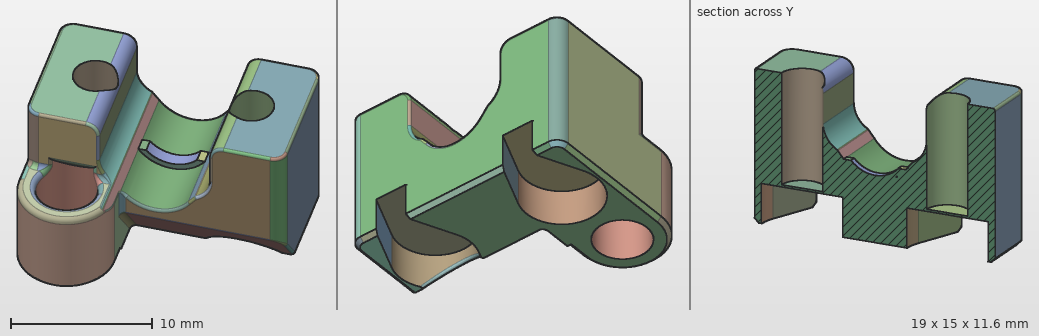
import cadquery as cq
import math

length = 19.0
width = 10.0
height = 11.6
corner_radius = 1.0
edge_radius = 0.2
bottom_chamfer = 0.35
left = -length / 2
right = length / 2
front = -width / 2
back = width / 2

channel_half_width = 4.05
channel_lip_radius = 1.0
shoulder_radius = 2.0
shoulder_top_z = 8.3
shoulder_end_x = 2.95
seat_radius = 3.0
seat_center_z = 7.64
seat_tangent_x = 2.45

rib_width = 1.0
rib_inner_radius = 2.55
rib_top_z = 5.9

ear_radius = 3.5
ear_x = left + ear_radius
ear_y = -6.5
ear_top_z = 6.62
ear_right = ear_x + ear_radius
ear_fillet = 0.4
eye_radius = 2.2
eye_back = ear_y + eye_radius
eye_roof_z = 6.73
eye_mouth_z = 7.55

undercut_height = 3.83
undercut_depth = 3.0
undercut_back = front + undercut_depth

screw_x = 5.73
screw_radius = 1.6
pocket_radius = 3.2
pocket_depth = 3.0
pocket_mouth_half_width = 1.34
pocket_lip_radius = 0.2
membrane = 0.2

pick = 0.1


def box(x0, x1, y0, y1, z0, z1):
    return cq.Workplane("XY").box(x1 - x0, y1 - y0, z1 - z0, centered=False).translate((x0, y0, z0))


def cylinder(x, y, radius, z0, z1):
    return cq.Workplane("XY", origin=(x, y, z0)).circle(radius).extrude(z1 - z0)


def near(x0, x1, y0, y1, z0, z1):
    """Selector for edges whose centre lies inside a box, grown a little on every side."""
    return cq.selectors.BoxSelector((x0 - pick, y0 - pick, z0 - pick), (x1 + pick, y1 + pick, z1 + pick))


def channel(y0, y1):
    """Channel void: straight walls, concave shoulders, then a round seat."""
    shoulder_center_x = channel_half_width - shoulder_radius
    shoulder_end_z = shoulder_top_z - math.sqrt(
        shoulder_radius**2 - (shoulder_end_x - shoulder_center_x) ** 2
    )
    half_sweep = math.asin((shoulder_top_z - shoulder_end_z) / shoulder_radius) / 2
    mid_x = shoulder_center_x + shoulder_radius * math.cos(half_sweep)
    mid_z = shoulder_top_z - shoulder_radius * math.sin(half_sweep)
    tangent_z = seat_center_z - math.sqrt(seat_radius**2 - seat_tangent_x**2)
    lip_x = channel_half_width + channel_lip_radius
    lip_z = height - channel_lip_radius
    lip_mid = channel_lip_radius * math.sqrt(0.5)
    void = (
        cq.Workplane("XZ", origin=(0, y1, 0))
        .moveTo(-lip_x, height)
        .threePointArc((-lip_x + lip_mid, lip_z + lip_mid), (-channel_half_width, lip_z))
        .lineTo(-channel_half_width, shoulder_top_z)
        .threePointArc((-mid_x, mid_z), (-shoulder_end_x, shoulder_end_z))
        .lineTo(-seat_tangent_x, tangent_z)
        .threePointArc((0, seat_center_z - seat_radius), (seat_tangent_x, tangent_z))
        .lineTo(shoulder_end_x, shoulder_end_z)
        .threePointArc((mid_x, mid_z), (channel_half_width, shoulder_top_z))
        .lineTo(channel_half_width, lip_z)
        .threePointArc((lip_x - lip_mid, lip_z + lip_mid), (lip_x, height))
        .close()
        .extrude(y1 - y0)
    )
    left_corner = near(-shoulder_end_x, -shoulder_end_x, y0, y1, shoulder_end_z, shoulder_end_z)
    right_corner = near(shoulder_end_x, shoulder_end_x, y0, y1, shoulder_end_z, shoulder_end_z)
    return void.edges("|Y").edges(left_corner + right_corner).fillet(edge_radius)


def undercut():
    """Wedge removed from under the front face."""
    return (
        cq.Workplane("YZ", origin=(ear_right, 0, 0))
        .moveTo(front, 0)
        .lineTo(undercut_back, 0)
        .lineTo(front, undercut_height)
        .close()
        .extrude(right - ear_right)
    )


def block():
    """Main block with rounded corners, a chamfered base and the undercut."""
    body = box(left, right, front, back, 0, height)
    body = body.edges("|Z").fillet(corner_radius)
    body = body.faces("<Z").chamfer(bottom_chamfer)
    return body.cut(undercut())


def ear():
    """Solid ear with a round nose, reaching back into the block."""
    body = box(left, ear_right, ear_y, undercut_back, 0, ear_top_z)
    body = body.union(cylinder(ear_x, ear_y, ear_radius, 0, ear_top_z))
    return body.faces("<Z").edges("not >Y").chamfer(bottom_chamfer)


def blend_ear(body):
    """Round the ear's top edge, then its inner corners against the block."""
    outer_y = front - corner_radius / 2
    top_edges = near(left, ear_right, ear_y - ear_radius, outer_y, ear_top_z, ear_top_z)
    body = body.edges(top_edges).fillet(ear_fillet)
    step = near(left, ear_right, front, front + corner_radius / 2, ear_top_z, ear_top_z)
    web = near(ear_right, ear_right, front, front, undercut_height, ear_top_z)
    slope_y = (front + undercut_back) / 2
    slope_z = undercut_height / 2
    sloping_web = near(ear_right, ear_right, slope_y, slope_y, slope_z, slope_z)
    return body.edges(step + web + sloping_web).fillet(ear_fillet)


def round_undercut(body):
    """Round the upper edge of the undercut; the rounding runs on down its right side."""
    upper_edge = near(0, right / 2, front, front, undercut_height, undercut_height)
    return body.edges(upper_edge).fillet(edge_radius)


def eye():
    """Vertical eye that runs a little into the block, where a sloping roof closes it."""
    eye_front = ear_y - eye_radius
    roof_slope = (eye_mouth_z - eye_roof_z) / (eye_back - front)
    roof_front_z = eye_roof_z + roof_slope * (eye_back - eye_front)
    under_roof = (
        cq.Workplane("YZ", origin=(left, 0, 0))
        .moveTo(eye_front, 0)
        .lineTo(eye_back, 0)
        .lineTo(eye_back, eye_roof_z)
        .lineTo(eye_front, roof_front_z)
        .close()
        .extrude(2 * ear_radius)
    )
    return cylinder(ear_x, ear_y, eye_radius, 0, roof_front_z).intersect(under_roof)


def round_eye(body):
    """Round the eye's rim on the ear and its mouth in the block."""
    rim = near(
        ear_x - eye_radius, ear_x + eye_radius, ear_y - eye_radius, front, ear_top_z, eye_mouth_z
    )
    return body.edges(rim).fillet(ear_fillet)


def round_rims(body):
    """Round the top rim of the block and the channel's edges on the front and back faces."""
    flat_end = right - corner_radius - 2 * pick
    corner_start = right - corner_radius
    seat_bottom_z = seat_center_z - seat_radius
    seat_edges = near(0, channel_half_width, front, front, seat_bottom_z, shoulder_top_z)
    front_edges = near(-flat_end, flat_end, front, front, shoulder_top_z, height)
    back_edges = near(-flat_end, flat_end, back, back, seat_bottom_z, height)
    left_rim = near(left, -corner_start, front, back, height, height)
    right_rim = near(corner_start, right, front, back, height, height)
    rims = front_edges + seat_edges + back_edges + left_rim + right_rim
    return body.edges(rims).fillet(edge_radius)


def rib():
    """Low rib that follows the bottom of the seat at mid-width."""
    seat_bottom_z = seat_center_z - seat_radius
    half_width = rib_width / 2
    bar = box(-seat_radius, seat_radius, -half_width, half_width, seat_bottom_z, rib_top_z)
    bar = bar.intersect(channel(front, back))
    bore = cq.Workplane("XZ", origin=(0, rib_width, seat_center_z)).circle(rib_inner_radius)
    return bar.cut(bore.extrude(2 * rib_width))


def head_pocket(x):
    """Round pocket in the base whose straight sides narrow, from tangents, to a mouth in the back face."""
    mouth = math.hypot(pocket_mouth_half_width, back)
    angle = math.asin(pocket_radius / mouth) - math.asin(pocket_mouth_half_width / mouth)
    tangent_x = pocket_radius * math.cos(angle)
    tangent_y = pocket_radius * math.sin(angle)
    return (
        cq.Workplane("XY", origin=(x, 0, 0))
        .moveTo(-pocket_mouth_half_width, back)
        .lineTo(-tangent_x, tangent_y)
        .threePointArc((0, -pocket_radius), (tangent_x, tangent_y))
        .lineTo(pocket_mouth_half_width, back)
        .close()
        .extrude(pocket_depth)
    )


def round_pocket_lip(body):
    """Round the lip where the right-hand pocket breaks through the undercut."""
    lip = near(screw_x, screw_x, -pocket_radius, undercut_back, bottom_chamfer + pick, undercut_height / 2)
    return body.edges(lip).fillet(pocket_lip_radius)


body = block().union(ear())
body = blend_ear(body)
body = round_undercut(body)
body = body.cut(eye())
body = round_eye(body)
body = body.cut(channel(ear_y - ear_radius, back))
body = round_rims(body)
body = body.union(rib())
for x in (-screw_x, screw_x):
    body = body.cut(cylinder(x, 0, screw_radius, pocket_depth + membrane, height))
    body = body.cut(head_pocket(x))
body = round_pocket_lip(body)
result = body